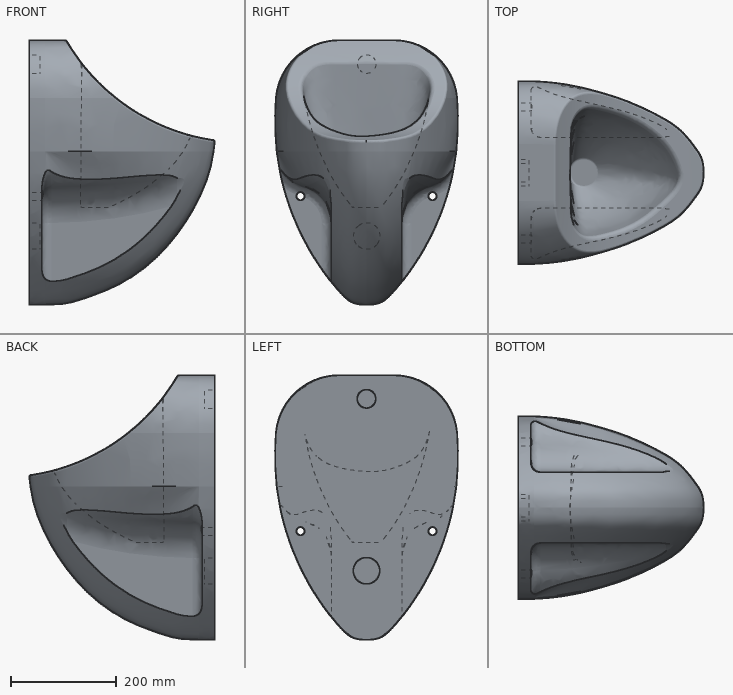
import cadquery as cq
import math


HEIGHT = 501.26
HALF_WIDTH = 346.53 / 2
WIDEST_Z = 345.0
PLATE_THICKNESS = 30.0
HINGE_Z = 291.0
HINGE_HALF_WIDTH = 170.3
SHOULDER_Z = 392.0
SHOULDER_HALF_WIDTH = 171.8
TOP_HALF_WIDTH = 54.0
CORNER_MIDDLE = (149.0, 452.0)
PLATE_OUTLINE = [(174.2, 141.5), (89.7, 99.5), (41.5, 65.0), (17.3, 43.5)]
PLATE_SIDE_SLOPE = 0.12

NOSE_X = 349.25
NOSE_LEAN = 0.125
NOSE_OUTLINE = [(157.6, 148.0), (268.0, 103.0), (303.0, 80.5), (335.0, 44.0)]
NOSE_SIDE_SLOPE = -0.04
SIDE_SECTIONS = 2
CORNER_SECTIONS = 6

KEEL_POINTS = [
    (NOSE_X, HINGE_Z),
    (325.0, 209.5),
    (263.0, 113.5),
    (150.0, 29.5),
    (90.0, 7.7),
    (PLATE_THICKNESS, 0.0),
]
KEEL_END_SLOPE = 0.02
KEEL_PINCH = 0.14
FAN_STEPS = 16
PROFILE_STEPS = 40
SKIN_TOLERANCE = 0.02
JOIN_TOLERANCE = 0.05

RIM_BACK = (70.0, HEIGHT)
RIM_MIDDLE = (181.7, 378.7)
RIM_FRONT = (352.0, 311.8)
RIM_OUTER_FILLET = 5.0
RIM_INNER_FILLET = 9.0
CUT_MARGIN = 1.0

BOWL_BACK = (98.0, 467.0)
BOWL_NOSE = (308.0, 333.0)
BOWL_HALF_OUTLINE = [(280, 57), (236, 94), (154, 123), (122, 121), (104, 101), (99, 50)]
BOWL_CENTER_X = 170.0
MIDDLE_INSET = 0.5
MIDDLE_DROP = 0.7
DRAIN_X = 123.5
DRAIN_RADIUS = 27.0
DRAIN_Z = 185.0
DRAIN_FILLET = 4.0

RECESS_BACK_X = 24.0
RECESS_TOP_Z = HINGE_Z
RECESS_BOTTOM_Z = -10.0
RECESS_OVERLAP = 1.5
RECESS_BACK_FILLET = 18.0
RECESS_FLAT_Y = 67.0
RECESS_FLAT_TOP_Z = 155.0
RECESS_FLAT_END_Z = 190.0
RECESS_END_Y = 33.0
RECESS_END_Z = 270.0
RECESS_FADE_POWER = 1.5
FLAT_END = 0.68
RECESS_END = 0.92
FLAT_STEPS = 5
FADE_STEPS = 3
RECESS_EDGE_BOX = ((0, 60, -50), (50, 168, 282))

BLIND_DEPTH = 20.0
UPPER_HOLE_DIAMETER = 35.0
UPPER_HOLE_Z = 456.5
LOWER_HOLE_DIAMETER = 50.0
LOWER_HOLE_Z = 131.0
SCREW_HOLE_DIAMETER = 15.0
SCREW_HOLE_Y = 125.0
SCREW_HOLE_Z = 206.0


def spline_edge(points, start, end):
    """Spline through the points with the given end directions."""
    vectors = [cq.Vector(*point) for point in points]
    return cq.Edge.makeSpline(vectors, tangents=[cq.Vector(*start), cq.Vector(*end)])


def arc_edge(start, middle, end):
    return cq.Edge.makeThreePointArc(cq.Vector(*start), cq.Vector(*middle), cq.Vector(*end))


nose_curve = spline_edge(
    [(PLATE_THICKNESS, HINGE_HALF_WIDTH)] + NOSE_OUTLINE + [(NOSE_X, 0)],
    (1, NOSE_SIDE_SLOPE),
    (0, -1),
)
plate_curve = spline_edge(
    [(HINGE_Z, HINGE_HALF_WIDTH)] + PLATE_OUTLINE + [(0, 0)],
    (-1, -PLATE_SIDE_SLOPE),
    (0, -1),
)
keel_curve = spline_edge(KEEL_POINTS, (-NOSE_LEAN, -1), (-1, -KEEL_END_SLOPE))
side_arc = arc_edge(
    (HINGE_HALF_WIDTH, HINGE_Z), (HALF_WIDTH, WIDEST_Z), (SHOULDER_HALF_WIDTH, SHOULDER_Z)
)
corner_arc = arc_edge(
    (SHOULDER_HALF_WIDTH, SHOULDER_Z), CORNER_MIDDLE, (TOP_HALF_WIDTH, HEIGHT)
)


def fan_point(turn, across):
    """Lower shell point: turn runs from hinge level (0) to plate (1), across from middle (0) to side (1)."""
    nose = nose_curve.positionAt(1 - across)
    plate = plate_curve.positionAt(1 - across)
    keel = keel_curve.positionAt(turn)
    nose_reach = (nose.x - PLATE_THICKNESS) / (NOSE_X - PLATE_THICKNESS)
    plate_reach = (HINGE_Z - plate.x) / HINGE_Z
    reach = nose_reach + (plate_reach - nose_reach) * turn
    pinch = 1 - KEEL_PINCH * math.sin(math.pi * turn) * math.sin(math.pi * across)
    return cq.Vector(
        PLATE_THICKNESS + reach * (keel.x - PLATE_THICKNESS),
        (nose.y + (plate.y - nose.y) * turn) * pinch,
        HINGE_Z - reach * (HINGE_Z - keel.y),
    )


def lower_shell():
    """Half of the rounded lower body: a curved skin closed by flats on top, at the plate and in the middle."""
    grid = [
        [fan_point(i / FAN_STEPS, j / PROFILE_STEPS) for j in range(PROFILE_STEPS + 1)]
        for i in range(FAN_STEPS + 1)
    ]
    skin = cq.Face.makeSplineApprox(grid, tol=SKIN_TOLERANCE, minDeg=3, maxDeg=6)
    hinge_middle = cq.Vector(PLATE_THICKNESS, 0, HINGE_Z)
    faces = [skin]
    for edge in skin.Edges():
        spokes = [
            cq.Edge.makeLine(edge.endPoint(), hinge_middle),
            cq.Edge.makeLine(hinge_middle, edge.startPoint()),
        ]
        faces.append(cq.Face.makeFromWires(cq.Wire.assembleEdges([edge] + spokes)))
    return cq.Workplane(cq.Solid.makeSolid(cq.Shell.makeShell(faces)))


def level_section(half_width, z):
    """Closed horizontal section of one half of the upper shell."""
    lean = 1 + NOSE_LEAN * (z - HINGE_Z) / (NOSE_X - PLATE_THICKNESS)
    widen = half_width / HINGE_HALF_WIDTH

    def placed(x, y):
        return (PLATE_THICKNESS + (x - PLATE_THICKNESS) * lean, y * widen)

    side = [placed(x, y) for x, y in NOSE_OUTLINE]
    return (
        cq.Workplane("XY", origin=(0, 0, z))
        .moveTo(*placed(PLATE_THICKNESS, HINGE_HALF_WIDTH))
        .spline(
            side + [placed(NOSE_X, 0)],
            includeCurrent=True,
            tangents=[(1, NOSE_SIDE_SLOPE * widen), (0, -1)],
        )
        .lineTo(PLATE_THICKNESS, 0)
        .close()
        .val()
    )


def upper_shell():
    """Half of the upper body: its width follows the plate outline, first the side and then the corner."""
    shell = cq.Workplane()
    for arc, steps in ((side_arc, SIDE_SECTIONS), (corner_arc, CORNER_SECTIONS)):
        stations = [arc.positionAt(i / steps) for i in range(steps + 1)]
        shell = shell.add(cq.Solid.makeLoft([level_section(p.x, p.y) for p in stations]))
    return shell.combine()


def back_plate():
    """Half of the flat plate against the wall."""
    return (
        cq.Workplane("YZ")
        .moveTo(0, HEIGHT)
        .lineTo(TOP_HALF_WIDTH, HEIGHT)
        .threePointArc(CORNER_MIDDLE, (SHOULDER_HALF_WIDTH, SHOULDER_Z))
        .threePointArc((HALF_WIDTH, WIDEST_Z), (HINGE_HALF_WIDTH, HINGE_Z))
        .spline(
            [(y, z) for z, y in PLATE_OUTLINE] + [(0, 0)],
            includeCurrent=True,
            tangents=[(-PLATE_SIDE_SLOPE, -1), (-1, 0)],
        )
        .close()
        .extrude(PLATE_THICKNESS)
    )


def rim_cutter():
    """Everything above the concave rim."""
    far = 2 * NOSE_X
    return (
        cq.Workplane("XZ", origin=(0, HEIGHT, 0))
        .moveTo(*RIM_BACK)
        .threePointArc(RIM_MIDDLE, RIM_FRONT)
        .lineTo(far, RIM_FRONT[1])
        .lineTo(far, HEIGHT + CUT_MARGIN)
        .lineTo(RIM_BACK[0], HEIGHT + CUT_MARGIN)
        .close()
        .extrude(2 * HEIGHT)
    )


def rim_face(body):
    """The rim is the largest cylindrical face."""
    return max(body.faces("%CYLINDER").vals(), key=lambda face: face.Area())


def recess_section(x, body_y, inner_y, inner_z):
    """Cutter section: two equal tangent arcs form an S from the outer side in to the flat."""
    outer_y = body_y + RECESS_OVERLAP
    depth = outer_y - inner_y
    height = RECESS_TOP_Z - inner_z
    radius = (depth**2 + height**2) / (4 * depth)
    half_turn = math.atan2(depth, height)
    sag = radius * (1 - math.cos(half_turn))
    rise = radius * math.sin(half_turn)
    return (
        cq.Workplane("YZ", origin=(x, 0, 0))
        .moveTo(inner_y, RECESS_BOTTOM_Z)
        .lineTo(inner_y, inner_z)
        .threePointArc(
            (inner_y + sag, inner_z + rise),
            ((inner_y + outer_y) / 2, (inner_z + RECESS_TOP_Z) / 2),
        )
        .threePointArc((outer_y - sag, RECESS_TOP_Z - rise), (outer_y, RECESS_TOP_Z))
        .lineTo(HEIGHT, RECESS_TOP_Z)
        .lineTo(HEIGHT, RECESS_BOTTOM_Z)
        .close()
        .val()
    )


def flat_wall(along):
    """Half width and top level of the flat part of the recess."""
    rise = RECESS_FLAT_END_Z - RECESS_FLAT_TOP_Z
    return RECESS_FLAT_Y, RECESS_FLAT_TOP_Z + rise * along**2


def fading_wall(along):
    """Half width and top level of the recess wall where it fades out toward the nose."""
    return (
        RECESS_FLAT_Y + (RECESS_END_Y - RECESS_FLAT_Y) * along**RECESS_FADE_POWER,
        RECESS_FLAT_END_Z + (RECESS_END_Z - RECESS_FLAT_END_Z) * along,
    )


def recess_sections(first, last, steps, wall):
    """Cutter sections between two places (0..1) along the nose outline."""
    sections = []
    for i in range(steps + 1):
        outer = nose_curve.positionAt(first + (last - first) * i / steps)
        sections.append(recess_section(outer.x, outer.y, *wall(i / steps)))
    return sections


def recess_cutter():
    """Cutter for one side recess: a flat wall under an S-shaped ledge that fades out toward the nose."""
    side = recess_sections(0, FLAT_END, FLAT_STEPS, flat_wall)
    side[0] = recess_section(RECESS_BACK_X, HINGE_HALF_WIDTH, *flat_wall(0))
    nose = recess_sections(FLAT_END, RECESS_END, FADE_STEPS, fading_wall)
    side_part = (
        cq.Workplane(cq.Solid.makeLoft(side))
        .faces("<X")
        .edges(cq.selectors.BoxSelector(*RECESS_EDGE_BOX))
        .fillet(RECESS_BACK_FILLET)
    )
    return side_part.union(cq.Workplane(cq.Solid.makeLoft(nose)))


def bowl_cutter():
    """Basin lofted from the tilted mouth through a bulging middle ring to the round drain floor."""
    fall = (BOWL_BACK[1] - BOWL_NOSE[1]) / (BOWL_NOSE[0] - BOWL_BACK[0])
    outline = [(BOWL_NOSE[0], 0)] + BOWL_HALF_OUTLINE + [(BOWL_BACK[0], 0)]
    outline += [(x, -y) for x, y in reversed(BOWL_HALF_OUTLINE)]
    mouth = []
    middle = []
    drain = []
    for x, y in outline:
        angle = math.atan2(y, x - BOWL_CENTER_X)
        top = cq.Vector(x, y, BOWL_BACK[1] - (x - BOWL_BACK[0]) * fall)
        floor = cq.Vector(
            DRAIN_X + DRAIN_RADIUS * math.cos(angle), DRAIN_RADIUS * math.sin(angle), DRAIN_Z
        )
        mouth.append(top)
        drain.append(floor)
        middle.append(
            cq.Vector(
                top.x + (floor.x - top.x) * MIDDLE_INSET,
                top.y + (floor.y - top.y) * MIDDLE_INSET,
                top.z + (floor.z - top.z) * MIDDLE_DROP,
            )
        )
    rings = [
        cq.Wire.assembleEdges([cq.Edge.makeSpline(points, periodic=True)])
        for points in (mouth, middle, drain)
    ]
    basin = cq.Workplane(cq.Solid.makeLoft(rings))
    return basin.faces("<Z").edges().fillet(DRAIN_FILLET)


def hole_cutter():
    """Two blind holes in the wall side and two screw holes through the plate."""
    cutter = cq.Workplane()
    blind_holes = (
        (UPPER_HOLE_DIAMETER, UPPER_HOLE_Z),
        (LOWER_HOLE_DIAMETER, LOWER_HOLE_Z),
    )
    for diameter, z in blind_holes:
        hole = cq.Workplane("YZ").center(0, z).circle(diameter / 2).extrude(BLIND_DEPTH)
        cutter = cutter.add(hole)
    screw_holes = (
        cq.Workplane("YZ")
        .pushPoints([(SCREW_HOLE_Y, SCREW_HOLE_Z), (-SCREW_HOLE_Y, SCREW_HOLE_Z)])
        .circle(SCREW_HOLE_DIAMETER / 2)
        .extrude(NOSE_X)
    )
    return cutter.add(screw_holes).combine()


def half_body():
    """The +Y half with its rounded outer rim and its side recess."""
    upper = upper_shell().cut(rim_cutter())
    side_edges = [edge for edge in rim_face(upper).Edges() if edge.Center().y > CUT_MARGIN]
    upper = cq.Workplane(upper.val().fillet(RIM_OUTER_FILLET, side_edges))
    half = upper.union(lower_shell(), tol=JOIN_TOLERANCE)
    half = half.union(back_plate(), tol=JOIN_TOLERANCE)
    return half.cut(recess_cutter())


half = half_body()
body = half.union(half.mirror("XZ"))
body = body.cut(bowl_cutter())
mouth_edges = rim_face(body).innerWires()[0].Edges()
body = cq.Workplane(body.val().fillet(RIM_INNER_FILLET, mouth_edges))
result = body.cut(hole_cutter())